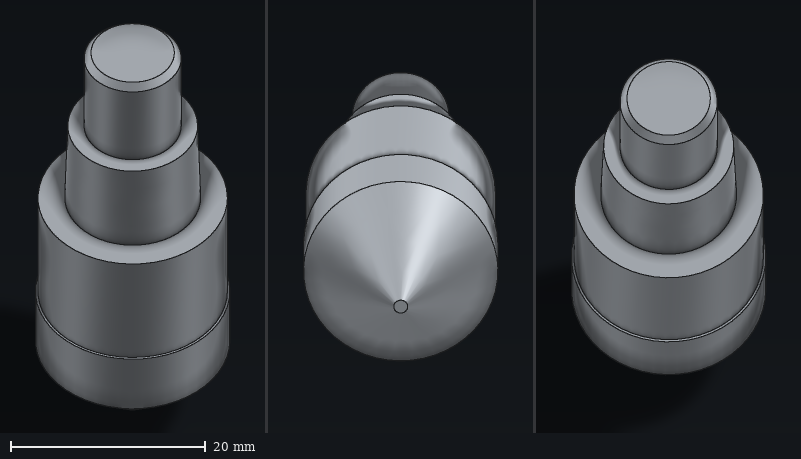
import cadquery as cq

total_height = 51.0
cone_top = 9.4
head_top = 16.6
body_top = 30.1
taper_top = 40.5
pin_chamfer = 0.7

tip_radius = 0.7
head_radius = 10.0
body_radius = 9.75
taper_base_radius = 7.0
taper_top_radius = 6.7
pin_radius = 5.0


def revolve_profile(points):
    """Revolve a closed (radius, height) outline about the Z axis."""
    return cq.Workplane("XZ").polyline(points).close().revolve(360, (0, 0, 0), (0, 1, 0))


def make_head():
    return revolve_profile([
        (0, 0),
        (tip_radius, 0),
        (head_radius, cone_top),
        (head_radius, head_top),
        (0, head_top),
    ])


def make_shank():
    return revolve_profile([
        (0, head_top),
        (body_radius, head_top),
        (body_radius, body_top),
        (taper_base_radius, body_top),
        (taper_top_radius, taper_top),
        (pin_radius, taper_top),
        (pin_radius, total_height - pin_chamfer),
        (pin_radius - pin_chamfer, total_height),
        (0, total_height),
    ])


head = make_head()
shank = make_shank()

result = cq.Compound.makeCompound([head.val(), shank.val()])